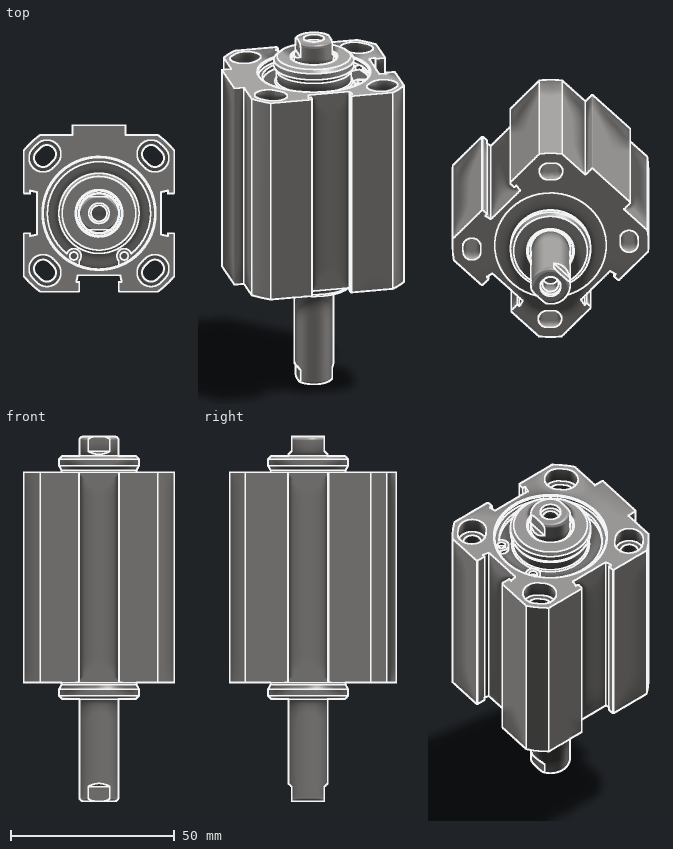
import cadquery as cq
import math


total_length = 111.5
housing_height = 64.3
rod_bottom_reach = 36.2
rod_top_reach = total_length - housing_height - rod_bottom_reach

housing_half_width = 23.02
housing_half_depth = 24.0
corner_diameter = 60.0
rail_top_y = 27.0
rail_width = 16.3
rail_edge_fillet = 0.2

slot_lip_width = 12.0
slot_mouth_chamfer = 0.2
slot_undercut_width = 13.8
slot_floor_width = 12.9
slot_pocket_depth = 2.0
side_slot_depth = 4.0
front_slot_depth = 5.0

mount_x = 16.5
mount_y = 17.5
mount_stretch = 1.7
mount_hole_diameter = 5.5
mount_counterbore_diameter = 8.6
mount_counterbore_depth = 5.5

bore_diameter = 34.1
bore_mouth_diameter = 34.8
groove_diameter = 35.8
ring_thickness = 1.5
ring_depth = 1.7
plug_depth = ring_depth + ring_thickness
plug_thickness = 10.0

ring_inner_diameter = 31.5
ring_gap_width = 12.0
ear_x = 7.7
ear_y = -13.0
ear_diameter = 4.5
ear_hole_diameter = 2.5

neck_diameter = 23.0
flange_diameter = 24.5
neck_height = 0.6
flange_start = 2.0
neck_base_chamfer = 0.5
collar_height = 5.0
flange_chamfer = 1.0
wiper_mouth_diameter = 14.5
wiper_diameter = 14.0
wiper_depth = 1.0
lip_top_diameter = 13.7
lip_bottom_diameter = 12.5
lip_depth = 0.7

rod_diameter = 12.0
rod_end_fillet = 1.2
flats_width = 10.0
flat_length = 4.5
end_bore_diameter = 6.2
end_bore_depth = 1.7
thread_hole_diameter = 4.9
thread_hole_depth = 8.9
drill_point_angle = 165.0


def cylinder(diameter, bottom, top):
    return cq.Workplane("XY", origin=(0, 0, bottom)).circle(diameter / 2).extrude(top - bottom)


def cone(bottom_diameter, top_diameter, bottom, top):
    profile = [(0, bottom), (bottom_diameter / 2, bottom), (top_diameter / 2, top), (0, top)]
    return cq.Workplane("XZ").polyline(profile).close().revolve(360, (0, 0), (0, 1))


def slot_cutter(face_distance, depth):
    """A slot open towards -Y, cut into a side that lies face_distance from the axis."""
    floor_y = depth - face_distance
    undercut_y = floor_y - slot_pocket_depth
    half_profile = [
        (slot_lip_width / 2 + slot_mouth_chamfer, -face_distance),
        (slot_lip_width / 2, slot_mouth_chamfer - face_distance),
        (slot_lip_width / 2, undercut_y),
        (slot_undercut_width / 2, undercut_y),
        (slot_floor_width / 2, floor_y),
    ]
    mirrored = [(-x, y) for x, y in reversed(half_profile)]
    return cq.Workplane("XY").polyline(half_profile + mirrored).close().extrude(housing_height)


def mounting_hole(side_x, side_y):
    stretch_angle = -45 * side_x * side_y
    centre = (side_x * mount_x, side_y * mount_y)

    def oval(diameter, bottom):
        plane = cq.Workplane("XY", origin=(*centre, bottom))
        outline = plane.slot2D(diameter + mount_stretch, diameter, stretch_angle)
        return outline.extrude(housing_height - bottom)

    counterbore = oval(mount_counterbore_diameter, housing_height - mount_counterbore_depth)
    return oval(mount_hole_diameter, 0).union(counterbore)


def make_housing():
    block = cq.Workplane("XY").rect(2 * housing_half_width, 2 * housing_half_depth).extrude(housing_height)
    block = block.intersect(cylinder(corner_diameter, 0, housing_height))

    rail = cq.Workplane("XY").box(rail_width, rail_top_y, housing_height, centered=(True, False, False))
    block = block.union(rail.edges("|Z and >Y").fillet(rail_edge_fillet))

    block = block.cut(slot_cutter(housing_half_depth, front_slot_depth))
    side_slot = slot_cutter(housing_half_width, side_slot_depth)
    for angle in (-90, 90):
        block = block.cut(side_slot.rotate((0, 0, 0), (0, 0, 1), angle))

    for side_x in (-1, 1):
        for side_y in (-1, 1):
            block = block.cut(mounting_hole(side_x, side_y))

    top = housing_height
    ring_top = top - ring_depth
    mouth_chamfer = (bore_mouth_diameter - bore_diameter) / 2
    block = block.cut(cylinder(bore_diameter, top - plug_depth - plug_thickness, top))
    block = block.cut(cone(bore_diameter, bore_mouth_diameter, top - mouth_chamfer, top))
    block = block.cut(cylinder(groove_diameter, ring_top - ring_thickness, ring_top))
    block = block.cut(cylinder(bore_diameter, 0, plug_thickness))
    return block.cut(cylinder(rod_diameter, 0, top))


def make_collar(sunk_depth):
    """A collar that points up from a housing face at Z = 0, its plug sunk below that face."""
    mouth_chamfer = (wiper_mouth_diameter - wiper_diameter) / 2
    wiper_floor = collar_height - wiper_depth
    profile = [
        (rod_diameter / 2, -sunk_depth - plug_thickness),
        (bore_diameter / 2, -sunk_depth - plug_thickness),
        (bore_diameter / 2, -sunk_depth),
        (neck_diameter / 2, -sunk_depth),
        (neck_diameter / 2, neck_height),
        (flange_diameter / 2, flange_start),
        (flange_diameter / 2, collar_height - flange_chamfer),
        (flange_diameter / 2 - flange_chamfer, collar_height),
        (wiper_mouth_diameter / 2, collar_height),
        (wiper_diameter / 2, collar_height - mouth_chamfer),
        (wiper_diameter / 2, wiper_floor),
        (lip_top_diameter / 2, wiper_floor),
        (lip_bottom_diameter / 2, wiper_floor - lip_depth),
        (rod_diameter / 2, wiper_floor - lip_depth),
    ]
    return cq.Workplane("XZ").polyline(profile).close().revolve(360, (0, 0), (0, 1))


def neck_base_cone(sunk_depth):
    """The sloped foot around the neck of a sunk collar."""
    bottom_diameter = neck_diameter + 2 * neck_base_chamfer
    foot = cone(bottom_diameter, neck_diameter, -sunk_depth, neck_base_chamfer - sunk_depth)
    return foot.cut(cylinder(rod_diameter, -sunk_depth, 0))


def make_retaining_ring():
    bottom = housing_height - ring_depth - ring_thickness
    top = bottom + ring_thickness
    ring = cylinder(groove_diameter, bottom, top).cut(cylinder(ring_inner_diameter, bottom, top))
    gap = cq.Workplane("XY", origin=(0, 0, bottom)).box(
        ring_gap_width, groove_diameter, ring_thickness, centered=(True, False, False)
    )
    ring = ring.cut(gap.translate((0, -groove_diameter, 0)))
    for side in (-1, 1):
        ring = ring.union(cylinder(ear_diameter, bottom, top).translate((side * ear_x, ear_y, 0)))
    for side in (-1, 1):
        ring = ring.cut(cylinder(ear_hole_diameter, bottom, top).translate((side * ear_x, ear_y, 0)))
    return ring


def wrench_flat():
    """Cutter for the flat on the -Y side of a rod end whose tip is at Z = 0, with a 45 degree run-out."""
    flat_y = -flats_width / 2
    run_out = rod_diameter / 2 - flats_width / 2
    profile = [
        (flat_y, 0),
        (flat_y, -flat_length),
        (flat_y - run_out, -flat_length - run_out),
        (flat_y - run_out, 0),
    ]
    return cq.Workplane("YZ").polyline(profile).close().extrude(rod_diameter / 2, both=True)


def end_hole():
    """Cutter for the threaded hole in a rod end whose tip is at Z = 0."""
    seat_depth = end_bore_depth + (end_bore_diameter - thread_hole_diameter) / 2
    point_depth = thread_hole_diameter / 2 / math.tan(math.radians(drill_point_angle / 2))
    profile = [
        (0, 0),
        (end_bore_diameter / 2, 0),
        (end_bore_diameter / 2, -end_bore_depth),
        (thread_hole_diameter / 2, -seat_depth),
        (thread_hole_diameter / 2, -thread_hole_depth),
        (0, -thread_hole_depth - point_depth),
    ]
    return cq.Workplane("XZ").polyline(profile).close().revolve(360, (0, 0), (0, 1))


def rod_end_cutter():
    flat = wrench_flat()
    return end_hole().union(flat).union(flat.mirror("XZ"))


def make_rod():
    end_cutter = rod_end_cutter()
    bottom = -rod_bottom_reach
    top = housing_height + rod_top_reach
    rod = cylinder(rod_diameter, bottom, top).faces("<Z or >Z").edges().fillet(rod_end_fillet)
    rod = rod.cut(end_cutter.translate((0, 0, top)))
    return rod.cut(end_cutter.mirror("XY").translate((0, 0, bottom)))


housing = make_housing()
top_collar = make_collar(plug_depth).union(neck_base_cone(plug_depth)).translate((0, 0, housing_height))
bottom_collar = make_collar(0).mirror("XY")
retaining_ring = make_retaining_ring()
rod = make_rod()

result = cq.Compound.makeCompound(
    [housing.val(), top_collar.val(), bottom_collar.val(), retaining_ring.val(), rod.val()]
)